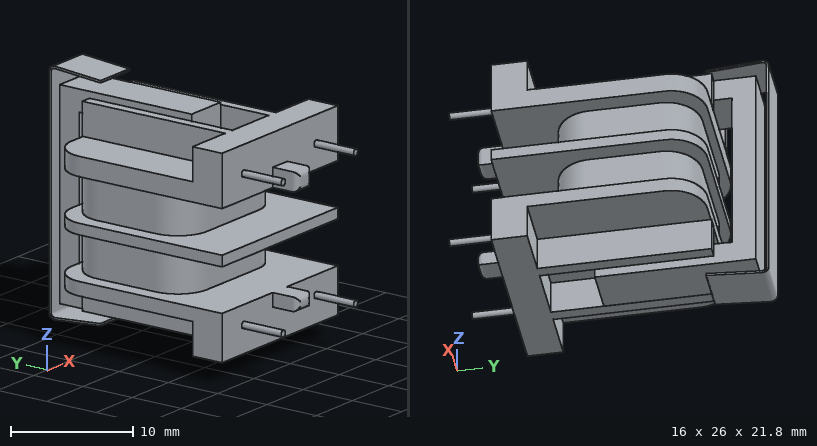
import cadquery as cq
import math


bobbin_width = 16.0
bobbin_depth = 17.5
bobbin_height = 18.0
flange_depth = 17.45
corner_radius = 3.0
winding_height = 4.0
top_flange_thickness = 1.75
middle_flange_thickness = 1.0
bottom_flange_thickness = 1.25
barrel_width = 13.05
barrel_depth = 11.95
barrel_front = 4.8

end_height = 3.0
bar_depth = 3.0
rib_thickness = 1.0
rib_spacing = 6.0

pin_diameter = 0.6
pin_length = 4.0
pin_spacing_x = 10.0
pin_spacing_z = 13.0
peg_width = 2.0
peg_length = 2.5
peg_rounding = 0.5

core_width = 4.0
core_depth = 13.4
core_height = 18.8
core_limb = 2.0
core_front = 7.5

passage_width = 4.7
passage_gap_y = 0.5

clip_width = 4.0
clip_height = 21.79
clip_back = 21.98
clip_tip = 16.75
clip_thickness = 0.2
clip_bend_radius = 0.55
clip_arm_slope = 4.5

outer_top = bobbin_height / 2
outer_bottom = -bobbin_height / 2
top_flange_upper = outer_top - end_height
top_flange_lower = top_flange_upper - top_flange_thickness
middle_flange_upper = top_flange_lower - winding_height
middle_flange_lower = middle_flange_upper - middle_flange_thickness
bottom_flange_upper = middle_flange_lower - winding_height
bottom_flange_lower = bottom_flange_upper - bottom_flange_thickness


def block(width, front, back, low, high, x_center=0.0):
    """Box centred on x_center in X, between given Y and Z limits."""
    return (
        cq.Workplane("XY")
        .box(width, back - front, high - low, centered=(True, False, False))
        .translate((x_center, front, low))
    )


def flange(low, high):
    """Flange plate with its two back corners rounded."""
    plate = block(bobbin_width, 0, flange_depth, low, high)
    return plate.edges("|Z and >Y").fillet(corner_radius)


def end_frame(low, high):
    """Pin bar and the two guide ribs that stand on an outer flange."""
    frame = block(bobbin_width, 0, bar_depth, low, high)
    for side in (-1, 1):
        rib_x = side * rib_spacing / 2
        frame = frame.union(block(rib_thickness, 0, bobbin_depth, low, high, rib_x))
    return frame


def peg(low, high):
    """Locating peg as thick as its flange, rounded around its free end."""
    return block(peg_width, -peg_length, 0, low, high).faces("<Y").edges().fillet(peg_rounding)


def pin(x, z):
    """Round pin standing on the pin face."""
    base = cq.Workplane("XZ", origin=(x, 0, z))
    return base.circle(pin_diameter / 2).extrude(pin_length)


def make_bobbin():
    barrel_back = barrel_front + barrel_depth
    body = block(barrel_width, barrel_front, barrel_back, bottom_flange_upper, top_flange_lower)
    body = body.edges("|Z").fillet(corner_radius)

    flange_levels = [
        (top_flange_lower, top_flange_upper),
        (middle_flange_lower, middle_flange_upper),
        (bottom_flange_lower, bottom_flange_upper),
    ]
    for low, high in flange_levels:
        body = body.union(flange(low, high))

    body = body.union(end_frame(top_flange_upper, outer_top))
    body = body.union(end_frame(outer_bottom, bottom_flange_lower))
    body = body.union(peg(top_flange_lower, top_flange_upper))
    body = body.union(peg(bottom_flange_lower, bottom_flange_upper))

    for x in (-pin_spacing_x / 2, pin_spacing_x / 2):
        for z in (-pin_spacing_z / 2, pin_spacing_z / 2):
            body = body.union(pin(x, z))

    passage_front = core_front - passage_gap_y
    passage_back = core_front + core_limb + passage_gap_y
    passage = block(passage_width, passage_front, passage_back, bottom_flange_lower, top_flange_upper)
    return body.cut(passage)


def make_core():
    """Closed rectangular ring; its front limb runs through the bobbin passage."""
    back = core_front + core_depth
    half_height = core_height / 2
    half_window = half_height - core_limb
    ring = block(core_width, core_front, back, -half_height, half_height)
    window = block(core_width, core_front + core_limb, back - core_limb, -half_window, half_window)
    return ring.cut(window)


def make_clip():
    """Thin strip behind the core, bent so that both arms lean inwards towards their tips."""
    slope = math.radians(clip_arm_slope)
    bend_y = clip_back - clip_bend_radius
    bend_z = clip_height / 2 - clip_bend_radius
    inner_radius = clip_bend_radius - clip_thickness

    def bend_point(radius, angle):
        return (bend_y + radius * math.cos(angle), bend_z + radius * math.sin(angle))

    def mirrored(point):
        return (point[0], -point[1])

    arm_angle = math.pi / 2 + slope
    middle_angle = arm_angle / 2
    outer_start, outer_middle, outer_end = [
        bend_point(clip_bend_radius, angle) for angle in (0, middle_angle, arm_angle)
    ]
    inner_start, inner_middle, inner_end = [
        bend_point(inner_radius, angle) for angle in (0, middle_angle, arm_angle)
    ]

    arm_length = (outer_end[0] - clip_tip) / math.cos(slope)
    arm_step_y = -arm_length * math.cos(slope)
    arm_step_z = -arm_length * math.sin(slope)
    outer_tip = (outer_end[0] + arm_step_y, outer_end[1] + arm_step_z)
    inner_tip = (inner_end[0] + arm_step_y, inner_end[1] + arm_step_z)

    strip = (
        cq.Workplane("YZ")
        .moveTo(*outer_tip)
        .lineTo(*outer_end)
        .threePointArc(outer_middle, outer_start)
        .lineTo(*mirrored(outer_start))
        .threePointArc(mirrored(outer_middle), mirrored(outer_end))
        .lineTo(*mirrored(outer_tip))
        .lineTo(*mirrored(inner_tip))
        .lineTo(*mirrored(inner_end))
        .threePointArc(mirrored(inner_middle), mirrored(inner_start))
        .lineTo(*inner_start)
        .threePointArc(inner_middle, inner_end)
        .lineTo(*inner_tip)
        .close()
    )
    return strip.extrude(clip_width / 2, both=True)


bobbin = make_bobbin()
core = make_core()
clip = make_clip()

result = cq.Compound.makeCompound([bobbin.val(), core.val(), clip.val()])